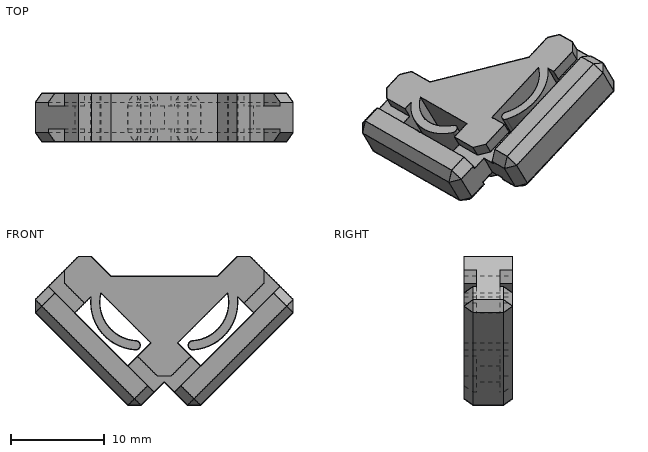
import cadquery as cq
import math

width = 27.58
height = 15.9
depth = 5.2
deck_height = 13.82
horn_flat = 1.4

rail_tilt = 45.0
chamfer = 1.0
rail_length = 16.0
rail_height = 2.98
groove_top = 4.45
neck_width = 2.48

window_length = rail_length / 2
window_start = (rail_length - window_length) / 2
window_top = 6.45
spring_outer_radius = 5.1
spring_thickness = 1.0
spring_center_height = 8.58
spring_root_angle = 155.0
spring_tip_angle = 266.5

half_width = width / 2
half_depth = depth / 2
diagonal = math.sqrt(2) / 2
corner_x = -half_width - chamfer * diagonal
corner_z = rail_length * diagonal - chamfer * diagonal
rail_plane = cq.Plane(
    origin=(corner_x, 0, corner_z),
    xDir=(diagonal, 0, -diagonal),
    normal=(0, -1, 0),
)


def rail_block(u_start, u_end, v_start, v_end, y_width):
    """Block aligned with the left rail and centred on Y = 0."""
    return (
        cq.Workplane(rail_plane)
        .center((u_start + u_end) / 2, (v_start + v_end) / 2)
        .rect(u_end - u_start, v_end - v_start)
        .extrude(y_width / 2, both=True)
    )


def make_body():
    """Full-depth plate with two horns, a deck and a V notch underneath."""
    rail_bottom_x = corner_x + rail_length * diagonal
    rail_bottom_z = corner_z - rail_length * diagonal
    notch_z = rail_bottom_z - rail_bottom_x
    horn_left_x = corner_x + height - corner_z
    horn_right_x = horn_left_x + horn_flat
    deck_x = horn_right_x + height - deck_height
    left_edge = [
        (0, notch_z),
        (rail_bottom_x, rail_bottom_z),
        (corner_x, corner_z),
        (horn_left_x, height),
        (horn_right_x, height),
        (deck_x, deck_height),
    ]
    right_edge = [(-x, z) for x, z in reversed(left_edge[1:])]
    return cq.Workplane("XZ").polyline(left_edge + right_edge).close().extrude(half_depth, both=True)


def make_rail_clearance():
    """Everything to remove around the left rail: grooves and the rail's outer chamfers."""
    groove_outline = [
        (0, rail_height),
        (rail_length, rail_height),
        (rail_length, groove_top + chamfer),
        (rail_length - chamfer, groove_top),
        (chamfer, groove_top),
        (0, groove_top + chamfer),
    ]
    grooves = (
        cq.Workplane(rail_plane)
        .polyline(groove_outline)
        .close()
        .extrude(half_depth, both=True)
        .cut(rail_block(0, rail_length, 0, groove_top + chamfer, neck_width))
    )
    sharp_rail = cq.Workplane("XY").box(rail_length, depth, rail_height, centered=(False, True, False))
    chamfered_rail = sharp_rail.edges("|Z or <Z").chamfer(chamfer)
    chamfered_rail = (
        chamfered_rail.rotate((0, 0, 0), (0, 1, 0), rail_tilt).translate((corner_x, 0, corner_z))
    )
    block = rail_block(0, rail_length, 0, rail_height, depth)
    return grooves.union(block.cut(chamfered_rail))


def make_spring():
    """Curved finger of constant thickness with a round tip."""
    middle_radius = spring_outer_radius - spring_thickness / 2
    inner_radius = spring_outer_radius - spring_thickness
    center_u = rail_length / 2
    center_x = corner_x + (center_u + spring_center_height) * diagonal
    center_z = corner_z + (spring_center_height - center_u) * diagonal

    def on_arc(radius, angle):
        turn = math.radians(angle)
        return (center_x + radius * math.cos(turn), center_z + radius * math.sin(turn))

    mid_angle = (spring_root_angle + spring_tip_angle) / 2
    tip_center = on_arc(middle_radius, spring_tip_angle)
    tip_turn = math.radians(spring_tip_angle + 90)
    tip = (
        tip_center[0] + spring_thickness / 2 * math.cos(tip_turn),
        tip_center[1] + spring_thickness / 2 * math.sin(tip_turn),
    )
    return (
        cq.Workplane("XZ")
        .moveTo(*on_arc(spring_outer_radius, spring_root_angle))
        .threePointArc(
            on_arc(spring_outer_radius, mid_angle),
            on_arc(spring_outer_radius, spring_tip_angle),
        )
        .threePointArc(tip, on_arc(inner_radius, spring_tip_angle))
        .lineTo(*on_arc(inner_radius, spring_tip_angle))
        .threePointArc(
            on_arc(inner_radius, mid_angle),
            on_arc(inner_radius, spring_root_angle),
        )
        .close()
        .extrude(half_depth, both=True)
    ) if False else (
        cq.Workplane("XZ")
        .moveTo(*on_arc(spring_outer_radius, spring_root_angle))
        .threePointArc(
            on_arc(spring_outer_radius, mid_angle),
            on_arc(spring_outer_radius, spring_tip_angle),
        )
        .threePointArc(tip, on_arc(inner_radius, spring_tip_angle))
        .threePointArc(
            on_arc(inner_radius, mid_angle),
            on_arc(inner_radius, spring_root_angle),
        )
        .close()
        .extrude(half_depth, both=True)
    )


window_end = window_start + window_length
window = rail_block(window_start, window_end, rail_height, window_top, depth)
left_removal = make_rail_clearance().union(window).cut(make_spring())
right_removal = left_removal.mirror("YZ")
result = make_body().cut(left_removal).cut(right_removal)